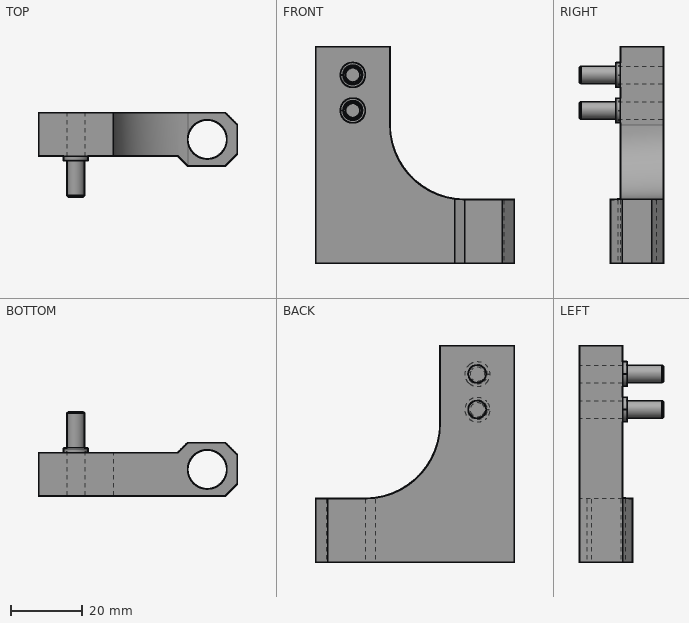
import cadquery as cq
import math

height = 61.0
post_width = 21.0
plate_thickness = 12.2
ear_height = 18.0
sweep_radius = 21.0
ear_start = post_width + sweep_radius
total_length = 56.0
ear_thickness = 15.0
ear_step = ear_thickness - plate_thickness
ear_chamfer = 3.4
ear_bore_diameter = 10.9
ear_bore_inset = 0.05
ear_bore_x = ear_start + ear_bore_inset + ear_bore_diameter / 2

pin_diameter = 5.0
pin_projection = 11.5
pin_tip_chamfer = 0.5
pin_length = plate_thickness + pin_projection
pin_x = post_width / 2
pin_spacing = 10.0
lower_pin_z = 43.0
pin_heights = [lower_pin_z + i * pin_spacing for i in range(2)]

ring_outer_diameter = 7.0
ring_inner_diameter = 5.5
ring_length = 1.35
ring_slit_angle = 1.0


def cylinder_along_y(x, z, diameter, length):
    """Cylinder that starts on the back face and runs toward -Y."""
    return cq.Workplane("XZ", origin=(x, 0, z)).circle(diameter / 2).extrude(length)


def make_bracket():
    arc_shift = sweep_radius * (1 - math.sqrt(0.5))
    side_profile = (
        cq.Workplane("XZ")
        .lineTo(total_length, 0)
        .lineTo(total_length, ear_height)
        .lineTo(ear_start, ear_height)
        .threePointArc(
            (post_width + arc_shift, ear_height + arc_shift),
            (post_width, ear_height + sweep_radius),
        )
        .lineTo(post_width, height)
        .lineTo(0, height)
        .close()
        .extrude(ear_thickness)
    )
    plan_outline = (
        cq.Workplane("XY")
        .lineTo(total_length - ear_chamfer, 0)
        .lineTo(total_length, -ear_chamfer)
        .lineTo(total_length, ear_chamfer - ear_thickness)
        .lineTo(total_length - ear_chamfer, -ear_thickness)
        .lineTo(ear_start, -ear_thickness)
        .lineTo(ear_start - ear_step, -plate_thickness)
        .lineTo(0, -plate_thickness)
        .close()
        .extrude(height)
    )
    ear_bore = (
        cq.Workplane("XY")
        .center(ear_bore_x, -ear_thickness / 2)
        .circle(ear_bore_diameter / 2)
        .extrude(ear_height)
    )
    bracket = side_profile.intersect(plan_outline).cut(ear_bore)
    for z in pin_heights:
        bracket = bracket.cut(cylinder_along_y(pin_x, z, pin_diameter, plate_thickness))
    return bracket


def make_pin(z):
    pin = cylinder_along_y(pin_x, z, pin_diameter, pin_length)
    return pin.faces("<Y").chamfer(pin_tip_chamfer)


def make_split_ring(z):
    """Ring with a fully rounded outer end and a narrow slit on its -X side."""
    outer_radius = ring_outer_diameter / 2
    inner_radius = ring_inner_diameter / 2
    round_radius = (outer_radius - inner_radius) / 2
    round_start = ring_length - round_radius
    ring = (
        cq.Workplane("XY")
        .moveTo(-inner_radius, 0)
        .lineTo(-outer_radius, 0)
        .lineTo(-outer_radius, -round_start)
        .threePointArc((-inner_radius - round_radius, -ring_length), (-inner_radius, -round_start))
        .close()
        .revolve(360 - ring_slit_angle, (0, 0, 0), (0, 1, 0))
    )
    return ring.translate((pin_x, -plate_thickness, z))


bracket = make_bracket()
pins = [make_pin(z) for z in pin_heights]
split_rings = [make_split_ring(z) for z in pin_heights]

result = cq.Compound.makeCompound([body.val() for body in [bracket, *pins, *split_rings]])